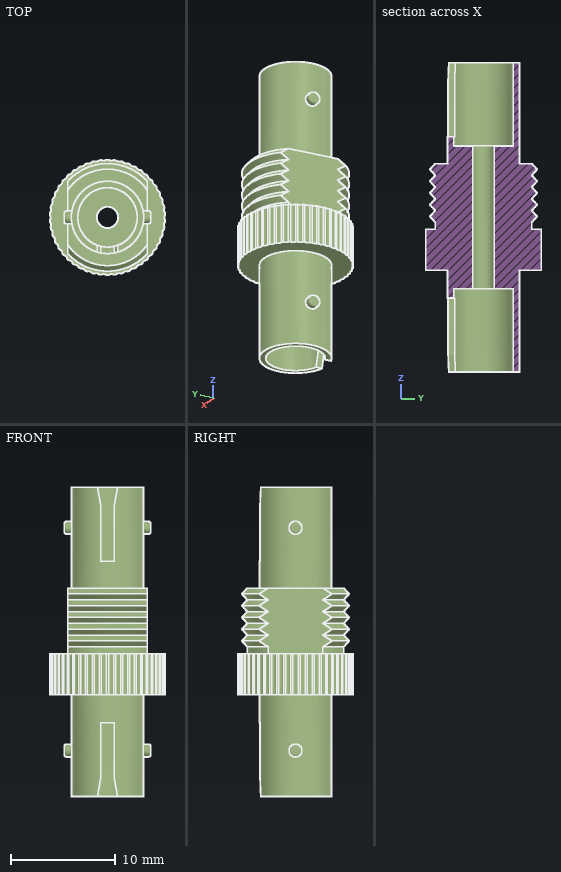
import cadquery as cq
import math

TOTAL_LENGTH = 29.72
TOP_Z = TOTAL_LENGTH / 2
BOTTOM_Z = -TOTAL_LENGTH / 2
THREAD_TOP_Z = 5.17
COLLAR_TOP_Z = -1.13
COLLAR_BOTTOM_Z = -5.08

SLEEVE_RADIUS = 3.48
CUP_RADIUS = 2.85
CUP_DEPTH = 8.0
BORE_RADIUS = 1.0

SLOT_WIDTH = 1.35
SLOT_MOUTH_WIDTH = 1.93
SLOT_DEPTH = 7.1
SLOT_FLARE_DEPTH = 1.63

PIN_RADIUS = 0.62
PIN_SPAN = 8.32
PIN_EDGE_RADIUS = 0.25
UPPER_PIN_Z = 10.97
LOWER_PIN_Z = -10.43

THREAD_ROOT_RADIUS = 4.65
THREAD_CREST_RADIUS = 5.17
THREAD_PITCH = 1.13
THREAD_COUNT = 5
NECK_FLATS_WIDTH = 7.65

COLLAR_RADIUS = 5.55
FLUTE_COUNT = 50
FLUTE_DEPTH = 0.1
LAND_WIDTH = 0.2


def cylinder(radius, bottom_z, top_z):
    return cq.Workplane("XY").workplane(offset=bottom_z).circle(radius).extrude(top_z - bottom_z)


def threaded_neck():
    """Revolve the V-ridge outline, then trim it to the width across the flats."""
    outline = cq.Workplane("XZ").moveTo(0, THREAD_TOP_Z).lineTo(THREAD_ROOT_RADIUS, THREAD_TOP_Z)
    for ridge in range(THREAD_COUNT):
        ridge_top_z = THREAD_TOP_Z - ridge * THREAD_PITCH
        outline = outline.lineTo(THREAD_CREST_RADIUS, ridge_top_z - THREAD_PITCH / 2)
        outline = outline.lineTo(THREAD_ROOT_RADIUS, ridge_top_z - THREAD_PITCH)
    outline = outline.lineTo(THREAD_ROOT_RADIUS, COLLAR_TOP_Z).lineTo(0, COLLAR_TOP_Z).close()
    neck = outline.revolve(360, (0, 0, 0), (0, 1, 0))
    between_flats = (
        cq.Workplane("XY")
        .workplane(offset=COLLAR_TOP_Z)
        .rect(NECK_FLATS_WIDTH, 2 * THREAD_CREST_RADIUS)
        .extrude(THREAD_TOP_Z - COLLAR_TOP_Z)
    )
    return neck.intersect(between_flats)


def knurled_collar():
    """Extrude an outline of alternating concave flutes and convex lands."""
    pitch_angle = 2 * math.pi / FLUTE_COUNT
    half_flute_angle = (pitch_angle - LAND_WIDTH / COLLAR_RADIUS) / 2

    def rim_point(angle, radius=COLLAR_RADIUS):
        return (radius * math.cos(angle), radius * math.sin(angle))

    outline = cq.Workplane("XY").workplane(offset=COLLAR_BOTTOM_Z).moveTo(*rim_point(-half_flute_angle))
    for flute in range(FLUTE_COUNT):
        flute_angle = flute * pitch_angle
        land_angle = flute_angle + pitch_angle / 2
        next_flute_start = flute_angle + pitch_angle - half_flute_angle
        outline = outline.threePointArc(
            rim_point(flute_angle, COLLAR_RADIUS - FLUTE_DEPTH),
            rim_point(flute_angle + half_flute_angle),
        )
        outline = outline.threePointArc(rim_point(land_angle), rim_point(next_flute_start))
    return outline.close().extrude(COLLAR_TOP_Z - COLLAR_BOTTOM_Z)


def bayonet_pins(pin_z):
    """One round bar across the sleeve; boring out the cup leaves only its two ends."""
    return (
        cq.Workplane("YZ", origin=(-PIN_SPAN / 2, 0, pin_z))
        .circle(PIN_RADIUS)
        .extrude(PIN_SPAN)
        .edges()
        .fillet(PIN_EDGE_RADIUS)
    )


def keyway(end_z, inward):
    """Slot cutter running from a sleeve end; inward is the Z direction into the part."""
    flare_z = end_z + inward * SLOT_FLARE_DEPTH
    floor_z = end_z + inward * SLOT_DEPTH
    return (
        cq.Workplane("XZ")
        .moveTo(-SLOT_MOUTH_WIDTH / 2, end_z)
        .lineTo(-SLOT_WIDTH / 2, flare_z)
        .lineTo(-SLOT_WIDTH / 2, floor_z)
        .lineTo(SLOT_WIDTH / 2, floor_z)
        .lineTo(SLOT_WIDTH / 2, flare_z)
        .lineTo(SLOT_MOUTH_WIDTH / 2, end_z)
        .close()
        .extrude(SLEEVE_RADIUS)
    )


result = cylinder(SLEEVE_RADIUS, BOTTOM_Z, TOP_Z).union(threaded_neck()).union(knurled_collar())

for pin_height in (UPPER_PIN_Z, LOWER_PIN_Z):
    result = result.union(bayonet_pins(pin_height))

result = result.cut(cylinder(BORE_RADIUS, BOTTOM_Z, TOP_Z))
result = result.cut(cylinder(CUP_RADIUS, TOP_Z - CUP_DEPTH, TOP_Z))
result = result.cut(cylinder(CUP_RADIUS, BOTTOM_Z, BOTTOM_Z + CUP_DEPTH))
result = result.cut(keyway(TOP_Z, -1))
result = result.cut(keyway(BOTTOM_Z, 1))